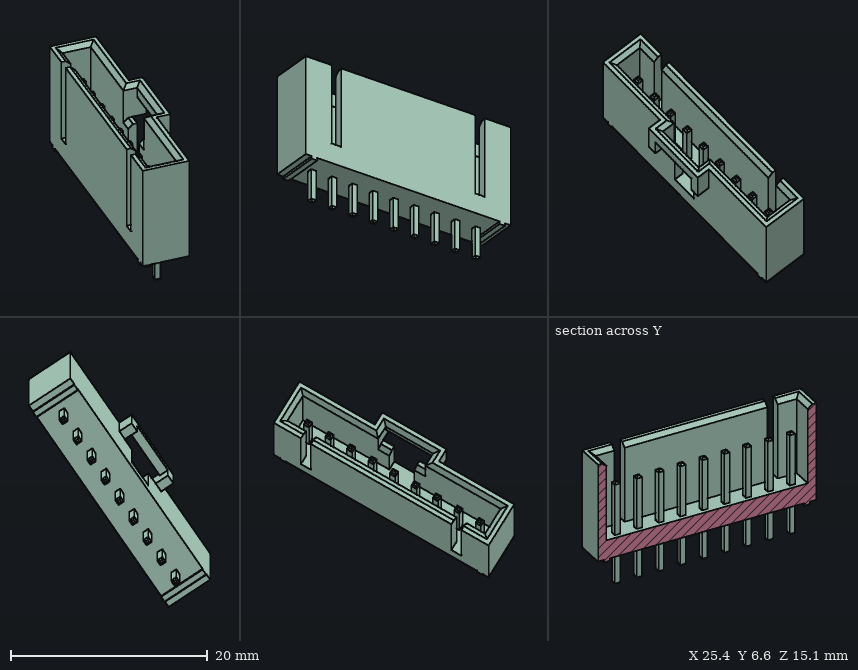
import cadquery as cq

length = 25.4
depth = 5.1
height = 11.49
wall = 1.02
floor_thickness = 2.29
lead_in_width = 0.53
lead_in_height = 0.45

shroud_length = 7.6
shroud_projection = 1.5
shroud_height = 3.84
shroud_beam_height = 1.55
back_notch_width = 2.95

slot_width = 1.17
slot_offset = 8.9

pin_count = 9
pin_pitch = 2.55
pin_width = 0.64
pin_y = 2.55
pin_top = 8.39
pin_bottom = -3.6
pin_tip_flat = 0.25
pin_tip_height = 0.18

foot_width = 0.65
foot_height = 0.3
foot_offset = 11.65

total_depth = depth + shroud_projection
shroud_bottom = height - shroud_height
shroud_inner_length = shroud_length - 2 * wall


def block(x_center, x_size, y_min, y_max, z_min, z_max):
    """Box centred on x_center and spanning the given Y and Z ranges."""
    size = (x_size, y_max - y_min, z_max - z_min)
    return cq.Workplane("XY").box(*size, centered=(True, False, False)).translate((x_center, y_min, z_min))


def mouth_bevel(x_size, y_min, y_max, z_top):
    """Solid widening a rectangular opening towards its top at z_top."""
    return (
        cq.Workplane("XY", origin=(0, (y_min + y_max) / 2, z_top - lead_in_height))
        .rect(x_size, y_max - y_min)
        .workplane(offset=lead_in_height)
        .rect(x_size + 2 * lead_in_width, y_max - y_min + 2 * lead_in_width)
        .loft(ruled=True)
    )


def make_housing():
    """Open box with a latch shroud, a stepped back wall and a slotted front wall."""
    body = block(0, length, 0, depth, 0, height)
    body = body.union(block(0, shroud_length, depth, total_depth, shroud_bottom, height))

    cavity_length = length - 2 * wall
    cavity_back = depth - wall
    body = body.cut(block(0, cavity_length, wall, cavity_back, floor_thickness, height))
    body = body.cut(mouth_bevel(cavity_length, wall, cavity_back, height))

    shroud_back = total_depth - wall
    body = body.cut(block(0, shroud_inner_length, wall, shroud_back, shroud_bottom, height))
    body = body.cut(mouth_bevel(shroud_inner_length, wall, shroud_back, height))

    beam_bottom = height - shroud_beam_height
    body = body.cut(block(0, shroud_inner_length, shroud_back, total_depth, shroud_bottom, beam_bottom))

    back_bevel = (
        cq.Workplane("YZ", origin=(-shroud_inner_length / 2, 0, 0))
        .moveTo(cavity_back, shroud_bottom - lead_in_height)
        .lineTo(cavity_back + lead_in_width, shroud_bottom)
        .lineTo(cavity_back, shroud_bottom)
        .close()
        .extrude(shroud_inner_length)
    )
    body = body.cut(back_bevel)

    body = body.cut(block(0, back_notch_width, cavity_back, depth, floor_thickness, shroud_bottom))

    for side in (-1, 1):
        body = body.cut(block(side * slot_offset, slot_width, 0, wall, floor_thickness, height))
    return body


def make_feet():
    """Two low ribs under the ends of the housing."""
    left, right = (block(s * foot_offset, foot_width, 0, depth, -foot_height, 0) for s in (-1, 1))
    return left.union(right)


def pin_tip(x, z_base, direction):
    """Truncated pyramid on a pin end; direction is +1 for up, -1 for down."""
    return (
        cq.Workplane("XY", origin=(x, pin_y, z_base))
        .rect(pin_width, pin_width)
        .workplane(offset=direction * pin_tip_height)
        .rect(pin_tip_flat, pin_tip_flat)
        .loft(ruled=True)
    )


def make_pin(x):
    """Square pin running through the floor, pointed at both ends."""
    shank_top = pin_top - pin_tip_height
    shank_bottom = pin_bottom + pin_tip_height
    half_width = pin_width / 2
    shank = block(x, pin_width, pin_y - half_width, pin_y + half_width, shank_bottom, shank_top)
    return shank.union(pin_tip(x, shank_top, 1)).union(pin_tip(x, shank_bottom, -1))


result = make_housing().union(make_feet())
for index in range(pin_count):
    result = result.union(make_pin((index - (pin_count - 1) / 2) * pin_pitch))